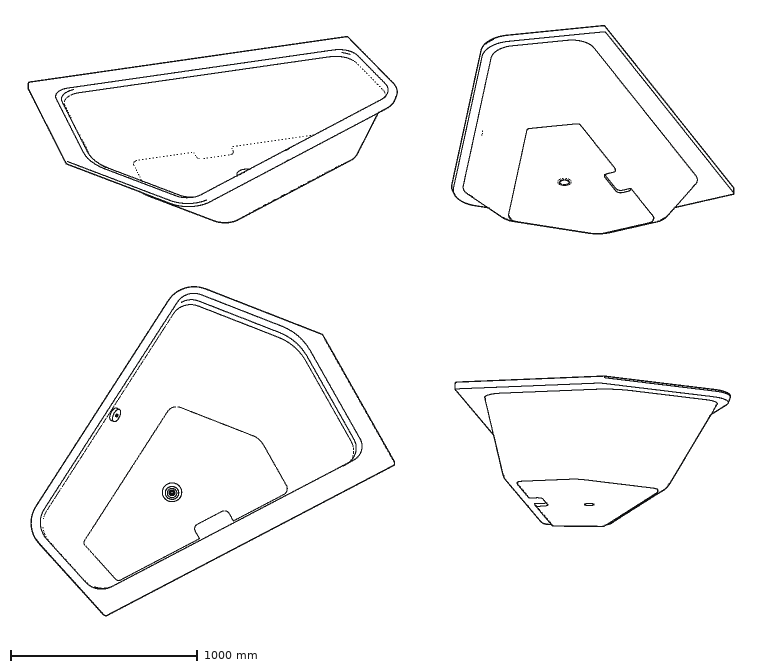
import cadquery as cq
import math


FRONT_WIDTH = 817.0
LEFT_LENGTH = 1780.0
DIAGONAL_ANGLE = 39.4
LONG_WALL_ANGLE = 119.7
BACK_WALL_ANGLE = 192.5
LONG_WALL_REACH = 1515.0
SMALL_CORNER = 11.0
RIM_CORNERS = [SMALL_CORNER, SMALL_CORNER, 163.0, 175.0, SMALL_CORNER]

RIM_HEIGHT = 40.0
RIM_UPRIGHT = 11.0
RIM_EDGE_RADIUS = 10.0
RIM_DRAFT = [0.0, 13.0, 8.0, 8.0, 0.0]

SHELL = 5.0
LIP_DEPTH = 13.0
FLOOR_DEPTH = 439.0
MOUTH_INSETS = [103.0, 42.0, 47.0, 45.0, 120.0]
LIP_INSETS = [131.0, 76.0, 53.0, 51.0, 122.0]
FLOOR_INSETS = [483.0, 525.0, 215.0, 213.0, 177.0]
MOUTH_CORNERS = [87.0, 304.0, 105.0, 142.0, 114.0]
LIP_CORNERS = [103.0, 295.0, 105.0, 142.0, 130.0]

BLEND_DEPTH = 397.0
BLEND_STEPS = 4
FLAT_INSETS = [503.0, 545.0, 247.0, 245.0, 218.0]
WALL_CORNERS = [76.0, 188.0, 106.0, 57.0, 53.0]
FLAT_CORNERS = [44.0, 127.0, 63.0, 15.0, 17.0]

OVERALL_HEIGHT = 460.0
BASE_INSETS = [515.0, 550.0, 258.0, 260.0, 240.0]
BASE_CORNERS = [38.0, 114.0, 57.0, 19.0, 19.0]
BASE_EDGE_RADIUS = 13.0
NOTCH_WIDTH = 207.0
NOTCH_DEPTH = 76.0
NOTCH_CENTRE_Y = 963.0
NOTCH_CORNER = 28.0

DRAIN_X = 535.0
DRAIN_Y = 1073.0
SEAT_DIAMETER = 105.0
DRAIN_DIAMETER = 72.0
SEAT_DEPTH = 10.0
FLANGE_THICKNESS = 5.0
TAIL_DIAMETER = 51.0
KNOB_DIAMETER = 32.0
KNOB_TOP_DIAMETER = 25.0
KNOB_HEIGHT = 5.0
KNOB_HOLE_DIAMETER = 14.5

OVERFLOW_DIAMETER = 72.0
OVERFLOW_EDGE = 19.0
OVERFLOW_CROWN = 4.0
OVERFLOW_HOLE_DIAMETER = 14.5
OVERFLOW_HOLE_DEPTH = 5.0
OVERFLOW_DEPTH = 72.0
OVERFLOW_Y = 1190.0

LONG_WALL = 2
BASE_TOP = -FLOOR_DEPTH - SHELL


def heading(degrees):
    return cq.Vector(math.cos(math.radians(degrees)), math.sin(math.radians(degrees)), 0)


def inward(degrees):
    return heading(degrees + 90)


ANGLES = [0.0, DIAGONAL_ANGLE, LONG_WALL_ANGLE, BACK_WALL_ANGLE, 270.0]
ANCHORS = [
    cq.Vector(0, 0, 0),
    cq.Vector(FRONT_WIDTH, 0, 0),
    inward(LONG_WALL_ANGLE) * -LONG_WALL_REACH,
    cq.Vector(0, LEFT_LENGTH, 0),
    cq.Vector(0, 0, 0),
]


def crossing(first, second, insets):
    """Point where two walls' inset lines meet."""
    start = ANCHORS[first] + inward(ANGLES[first]) * insets[first]
    target = ANCHORS[second] + inward(ANGLES[second]) * insets[second]
    normal = inward(ANGLES[second])
    along = heading(ANGLES[first])
    return start + along * ((target - start).dot(normal) / along.dot(normal))


def outline(insets, radii, z):
    """Closed wire of the five inset wall lines, joined by one arc at each corner."""
    level = cq.Vector(0, 0, z)
    arcs = []
    for wall, radius in enumerate(radii):
        before = wall - 1
        corner = crossing(before, wall, insets) + level
        half_turn = math.radians((ANGLES[wall] - ANGLES[before]) % 360) / 2
        tangent = radius * math.tan(half_turn)
        to_centre = (heading(ANGLES[wall]) - heading(ANGLES[before])).normalized()
        arcs.append((
            corner - heading(ANGLES[before]) * tangent,
            corner + to_centre * (radius / math.cos(half_turn) - radius),
            corner + heading(ANGLES[wall]) * tangent,
        ))
    edges = []
    for arc, next_arc in zip(arcs, arcs[1:] + arcs[:1]):
        edges.append(cq.Edge.makeThreePointArc(*arc))
        edges.append(cq.Edge.makeLine(arc[2], next_arc[0]))
    return cq.Wire.assembleEdges(edges)


def between(*outlines):
    """Solid with straight walls from one outline to the next."""
    return cq.Workplane(cq.Solid.makeLoft(list(outlines), True))


def wall_slope(wall):
    """Inset gained by a wall per unit of depth below the lip."""
    return (FLOOR_INSETS[wall] - LIP_INSETS[wall]) / (FLOOR_DEPTH - LIP_DEPTH)


def make_rim():
    flush = [0.0] * len(ANGLES)
    top = outline(flush, RIM_CORNERS, 0)
    middle = outline(flush, RIM_CORNERS, -RIM_UPRIGHT)
    bottom = outline(RIM_DRAFT, RIM_CORNERS, -RIM_HEIGHT)
    upright = between(middle, top).faces(">Z").edges().fillet(RIM_EDGE_RADIUS)
    return upright.union(between(bottom, middle))


def curve(start, control, end, t):
    """Quadratic Bezier value, tangent to both straight runs that meet at the control value."""
    return (1 - t) ** 2 * start + 2 * t * (1 - t) * control + t ** 2 * end


def make_basin(growth):
    """Solid filling the basin below the lip, with its walls and floor moved outward by the growth."""
    slopes = [wall_slope(wall) for wall in range(len(ANGLES))]
    spreads = [growth * math.hypot(1, slope) for slope in slopes]
    lip = [inset - spread for inset, spread in zip(LIP_INSETS, spreads)]
    wall_foot = [inset + slope * (BLEND_DEPTH - LIP_DEPTH) for inset, slope in zip(lip, slopes)]
    floor_depth = FLOOR_DEPTH + growth
    floor_line = [inset + slope * (floor_depth - LIP_DEPTH) for inset, slope in zip(lip, slopes)]

    def blend_outline(t):
        insets = [curve(*levels, t) for levels in zip(wall_foot, floor_line, FLAT_INSETS)]
        radii = [start + (end - start) * t + growth for start, end in zip(WALL_CORNERS, FLAT_CORNERS)]
        return outline(insets, radii, -curve(BLEND_DEPTH, floor_depth, floor_depth, t))

    lip_outline = outline(lip, [radius + growth for radius in LIP_CORNERS], -LIP_DEPTH)
    steps = [blend_outline(step / BLEND_STEPS) for step in range(BLEND_STEPS + 1)]
    walls = between(lip_outline, steps[0])
    blend = cq.Workplane(cq.Solid.makeLoft(steps))
    return walls.union(blend)


def make_mouth():
    return between(outline(LIP_INSETS, LIP_CORNERS, -LIP_DEPTH), outline(MOUTH_INSETS, MOUTH_CORNERS, 0))


def make_base():
    """Plate whose top is embedded halfway into the floor shell."""
    base = between(
        outline(BASE_INSETS, BASE_CORNERS, -OVERALL_HEIGHT),
        outline(BASE_INSETS, BASE_CORNERS, BASE_TOP + SHELL / 2),
    )
    base = base.faces("<Z").edges().fillet(BASE_EDGE_RADIUS)
    notch = (
        cq.Workplane("XY", origin=(BASE_INSETS[-1], NOTCH_CENTRE_Y, -OVERALL_HEIGHT))
        .rect(2 * NOTCH_DEPTH, NOTCH_WIDTH)
        .extrude(OVERALL_HEIGHT + BASE_TOP)
        .edges("|Z").fillet(NOTCH_CORNER)
    )
    return base.cut(notch)


def turned(points):
    """Solid turned about the Z axis from a half profile of (radius, z) points."""
    return cq.Workplane("XZ").polyline(points).close().revolve(360, (0, 0, 0), (0, 1, 0))


SEAT_Z = -FLOOR_DEPTH - SEAT_DEPTH
FLANGE_BOTTOM = SEAT_Z - FLANGE_THICKNESS


def make_drain_opening():
    return turned([
        (0, -OVERALL_HEIGHT),
        (TAIL_DIAMETER / 2, -OVERALL_HEIGHT),
        (TAIL_DIAMETER / 2, FLANGE_BOTTOM),
        (DRAIN_DIAMETER / 2, FLANGE_BOTTOM),
        (DRAIN_DIAMETER / 2, SEAT_Z),
        (SEAT_DIAMETER / 2, -FLOOR_DEPTH),
        (0, -FLOOR_DEPTH),
    ]).translate((DRAIN_X, DRAIN_Y, 0))


def make_drain():
    return turned([
        (0, -OVERALL_HEIGHT),
        (TAIL_DIAMETER / 2, -OVERALL_HEIGHT),
        (TAIL_DIAMETER / 2, FLANGE_BOTTOM),
        (DRAIN_DIAMETER / 2, FLANGE_BOTTOM),
        (DRAIN_DIAMETER / 2, SEAT_Z),
        (KNOB_DIAMETER / 2, SEAT_Z),
        (KNOB_TOP_DIAMETER / 2, SEAT_Z + KNOB_HEIGHT),
        (KNOB_HOLE_DIAMETER / 2, SEAT_Z + KNOB_HEIGHT),
        (KNOB_HOLE_DIAMETER / 2, SEAT_Z),
        (0, SEAT_Z),
    ]).translate((DRAIN_X, DRAIN_Y, 0))


def make_tub():
    tub = make_rim().union(make_basin(SHELL)).union(make_base())
    tub = tub.cut(make_basin(0)).cut(make_mouth()).cut(make_drain_opening())
    return tub.solids()


def make_overflow():
    """Crowned disc lying flat on the long slanted wall."""
    slope = wall_slope(LONG_WALL)
    inset = LIP_INSETS[LONG_WALL] + slope * (OVERFLOW_DEPTH - LIP_DEPTH)
    wall_point = ANCHORS[LONG_WALL] + inward(LONG_WALL_ANGLE) * inset
    along = heading(LONG_WALL_ANGLE)
    centre = wall_point + along * ((OVERFLOW_Y - wall_point.y) / along.y)
    seat = cq.Plane(
        origin=(centre.x, centre.y, -OVERFLOW_DEPTH),
        xDir=along,
        normal=inward(LONG_WALL_ANGLE) + cq.Vector(0, 0, slope),
    )
    crown_top = OVERFLOW_EDGE + OVERFLOW_CROWN
    hole_radius = OVERFLOW_HOLE_DIAMETER / 2
    disc = turned([
        (0, 0),
        (OVERFLOW_DIAMETER / 2, 0),
        (OVERFLOW_DIAMETER / 2, OVERFLOW_EDGE),
        (hole_radius, crown_top),
        (hole_radius, crown_top - OVERFLOW_HOLE_DEPTH),
        (0, crown_top - OVERFLOW_HOLE_DEPTH),
    ])
    return cq.Workplane(disc.val().moved(cq.Location(seat)))


tub = make_tub()
drain = make_drain()
overflow = make_overflow()

result = cq.Compound.makeCompound([tub.val(), drain.val(), overflow.val()])